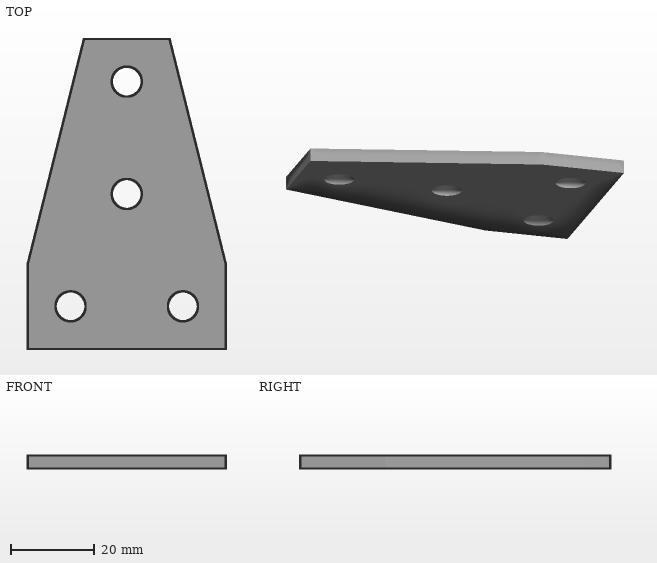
import cadquery as cq

hole_pitch = 27.0
edge_distance = 10.3
hole_diameter = 7.15
thickness = 3.2

end_width = 2 * edge_distance
base_width = hole_pitch + 2 * edge_distance
length = 2 * hole_pitch + 2 * edge_distance
shoulder_y = 2 * edge_distance

hole_centers = [
    (-hole_pitch / 2, edge_distance),
    (hole_pitch / 2, edge_distance),
    (0, edge_distance + hole_pitch),
    (0, edge_distance + 2 * hole_pitch),
]

plate = (
    cq.Workplane("XY")
    .moveTo(-base_width / 2, 0)
    .lineTo(base_width / 2, 0)
    .lineTo(base_width / 2, shoulder_y)
    .lineTo(end_width / 2, length)
    .lineTo(-end_width / 2, length)
    .lineTo(-base_width / 2, shoulder_y)
    .close()
    .extrude(thickness)
)

holes = cq.Workplane("XY").pushPoints(hole_centers).circle(hole_diameter / 2).extrude(thickness)

result = plate.cut(holes)